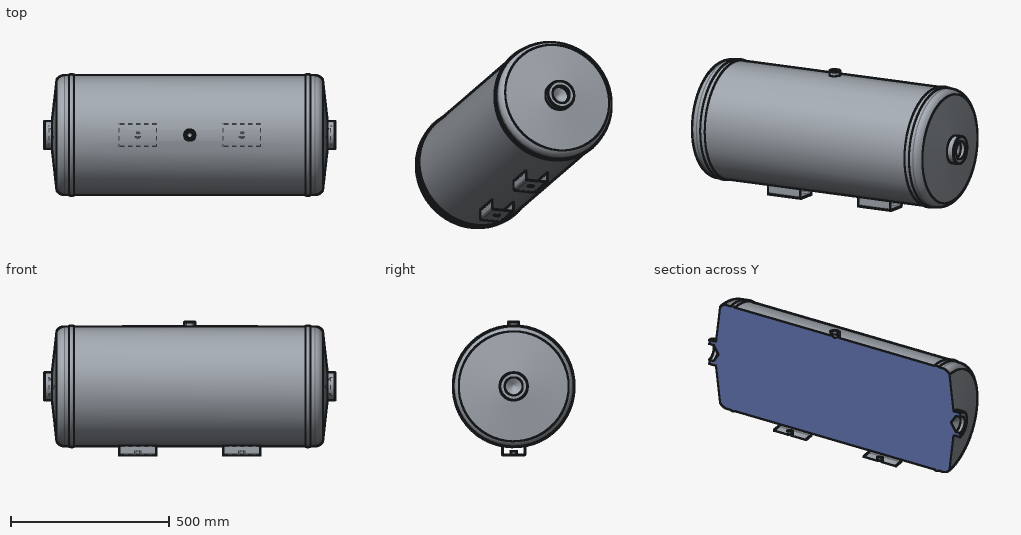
import cadquery as cq
import math

overall_length = 920.0
overall_height = 424.0
shell_diameter = 380.0
shell_radius = shell_diameter / 2
nozzle_length = 24.0
nozzle_diameter = 89.0
nozzle_chamfer = 2.0
cone_edge_radius = 174.0
cone_depth = 15.0
knuckle_length = 26.0
skirt_length = 14.0
bead_width = 17.0
bead_height = 3.0

bore_diameter = 57.0
bore_depth = 16.0
drill_point_angle = 118.0

boss_diameter = 35.0
boss_top = 205.0
boss_chamfer = 3.0
boss_bore_diameter = 20.0
boss_bore_depth = 14.0

foot_length = 118.0
foot_spacing = 329.0
foot_width = 74.0
foot_thickness = 3.0
foot_bend_radius = 6.0
leg_overlap = 3.0
foot_bottom = boss_top - overall_height
nut_diameter = 20.0
nut_height = 11.0
nut_hole_diameter = 12.0

half_length = overall_length / 2
dome_x = half_length - nozzle_length
cone_edge_x = dome_x - cone_depth
knuckle_x = cone_edge_x - knuckle_length
bead_outer_x = knuckle_x - skirt_length
bead_inner_x = bead_outer_x - bead_width
bead_middle_x = (bead_outer_x + bead_inner_x) / 2


def make_body():
    """Straight shell and two end caps revolved about X."""
    nozzle_radius = nozzle_diameter / 2
    shell = cq.Workplane("YZ", origin=(-bead_inner_x, 0, 0)).circle(shell_radius).extrude(2 * bead_inner_x)
    end_cap = (
        cq.Workplane("XY")
        .moveTo(bead_inner_x, 0)
        .lineTo(bead_inner_x, shell_radius)
        .threePointArc((bead_middle_x, shell_radius + bead_height), (bead_outer_x, shell_radius))
        .lineTo(knuckle_x, shell_radius)
        .tangentArcPoint((cone_edge_x, cone_edge_radius), relative=False)
        .lineTo(dome_x, nozzle_radius)
        .lineTo(half_length - nozzle_chamfer, nozzle_radius)
        .lineTo(half_length, nozzle_radius - nozzle_chamfer)
        .lineTo(half_length, 0)
        .close()
        .revolve(360, (0, 0, 0), (1, 0, 0))
    )
    return shell.union(end_cap).union(end_cap.mirror("YZ"))


def make_drilled_hole(diameter, depth):
    """Blind hole from Z = 0 downwards, ending in a drill point."""
    radius = diameter / 2
    point_depth = radius / math.tan(math.radians(drill_point_angle / 2))
    return (
        cq.Workplane("XZ")
        .polyline([(0, 0), (radius, 0), (radius, -depth), (0, -depth - point_depth)])
        .close()
        .revolve(360, (0, 0, 0), (0, 1, 0))
    )


def make_boss():
    return (
        cq.Workplane("XY")
        .circle(boss_diameter / 2)
        .extrude(boss_top)
        .faces(">Z")
        .chamfer(boss_chamfer)
    )


def make_foot():
    """U channel whose legs run up into the shell, with a nut on its floor."""
    inner_half_width = foot_width / 2 - foot_thickness
    leg_top = -math.sqrt(shell_radius**2 - inner_half_width**2) + leg_overlap
    height = leg_top - foot_bottom
    channel = (
        cq.Workplane("XY", origin=(0, 0, foot_bottom))
        .box(foot_length, foot_width, height, centered=(True, True, False))
        .edges("|X and <Z")
        .fillet(foot_bend_radius)
    )
    inside = (
        cq.Workplane("XY", origin=(0, 0, foot_bottom + foot_thickness))
        .box(foot_length, 2 * inner_half_width, height, centered=(True, True, False))
        .edges("|X and <Z")
        .fillet(foot_bend_radius - foot_thickness)
    )
    nut = (
        cq.Workplane("XY", origin=(0, 0, foot_bottom + foot_thickness))
        .circle(nut_diameter / 2)
        .extrude(nut_height)
    )
    nut_hole = (
        cq.Workplane("XY", origin=(0, 0, foot_bottom))
        .circle(nut_hole_diameter / 2)
        .extrude(foot_thickness + nut_height)
    )
    return channel.cut(inside).union(nut).cut(nut_hole)


result = make_body().union(make_boss())

foot = make_foot()
for side in (-1, 1):
    result = result.union(foot.translate((side * foot_spacing / 2, 0, 0)))

bore = make_drilled_hole(bore_diameter, bore_depth)
for side in (-1, 1):
    end_bore = bore.rotate((0, 0, 0), (0, 1, 0), side * 90)
    result = result.cut(end_bore.translate((side * half_length, 0, 0)))

boss_bore = make_drilled_hole(boss_bore_diameter, boss_bore_depth)
result = result.cut(boss_bore.translate((0, 0, boss_top)))